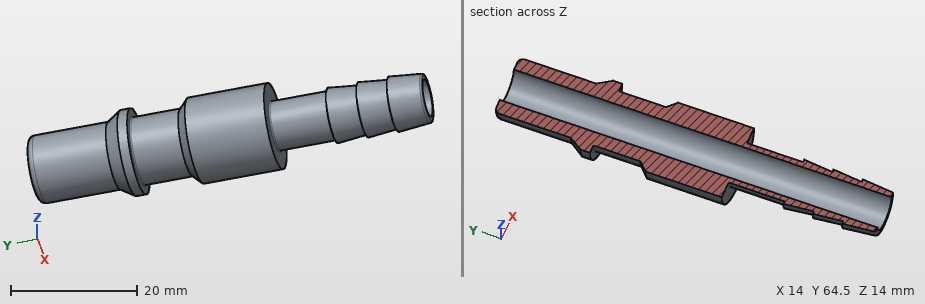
import cadquery as cq

total_length = 64.5
bore_radius = 3.0

tail_radius = 4.0
barb_radius = 4.5
barb_count = 3
barb_pitch = 5.0
first_barb_length = 5.5
hose_end_round = 0.3

body_radius = 6.98
body_start = 25.0
body_length = 13.0
body_cone_length = 1.5
root_fillet = 0.2

plug_radius = 5.5
plug_end_round = 1.0
collar_radius = body_radius
collar_start = 47.5
collar_length = 1.6
collar_cone_length = 2.3


def frustum(start, length, start_radius, end_radius):
    """Solid of revolution about Y whose radius varies linearly along its length."""
    return (
        cq.Workplane("XY")
        .moveTo(0, start)
        .lineTo(start_radius, start)
        .lineTo(end_radius, start + length)
        .lineTo(0, start + length)
        .close()
        .revolve(360, (0, 0, 0), (0, 1, 0))
    )


def cylinder(start, length, radius):
    return frustum(start, length, radius, radius)


def make_tail():
    """Plain tube with saw-tooth barbs that widen away from the hose end."""
    tail = cylinder(0, body_start, tail_radius)
    tail = tail.faces("<Y").edges().fillet(hose_end_round)
    barb_start = hose_end_round
    barb_end = first_barb_length
    for _ in range(barb_count):
        tail = tail.union(frustum(barb_start, barb_end - barb_start, tail_radius, barb_radius))
        barb_start = barb_end
        barb_end += barb_pitch
    return tail


def make_body():
    """Grip cylinder tapering down to the plug."""
    body = cylinder(body_start, body_length, body_radius)
    cone = frustum(body_start + body_length, body_cone_length, body_radius, plug_radius)
    return body.union(cone)


def make_plug():
    """Plug shank with a rounded tip."""
    plug_start = body_start + body_length
    shank = cylinder(plug_start, total_length - plug_start, plug_radius)
    return shank.faces(">Y").edges().fillet(plug_end_round)


def make_collar():
    """Locking collar: square shoulder toward the body, conical toward the tip."""
    collar = cylinder(collar_start, collar_length, collar_radius)
    cone = frustum(collar_start + collar_length, collar_cone_length, collar_radius, plug_radius)
    return collar.union(cone)


def root_ring(shoulder, shaft_radius):
    """Fillet ring between a shaft and the shoulder facing -Y at the given Y."""
    outer_radius = shaft_radius + root_fillet
    return (
        cq.Workplane("XY")
        .moveTo(0, shoulder)
        .lineTo(outer_radius, shoulder)
        .radiusArc((shaft_radius, shoulder - root_fillet), -root_fillet)
        .lineTo(0, shoulder - root_fillet)
        .close()
        .revolve(360, (0, 0, 0), (0, 1, 0))
    )


solid = make_tail().union(make_body()).union(make_plug()).union(make_collar())
solid = solid.union(root_ring(body_start, tail_radius))
solid = solid.union(root_ring(collar_start, plug_radius))
result = solid.cut(cylinder(0, total_length, bore_radius))